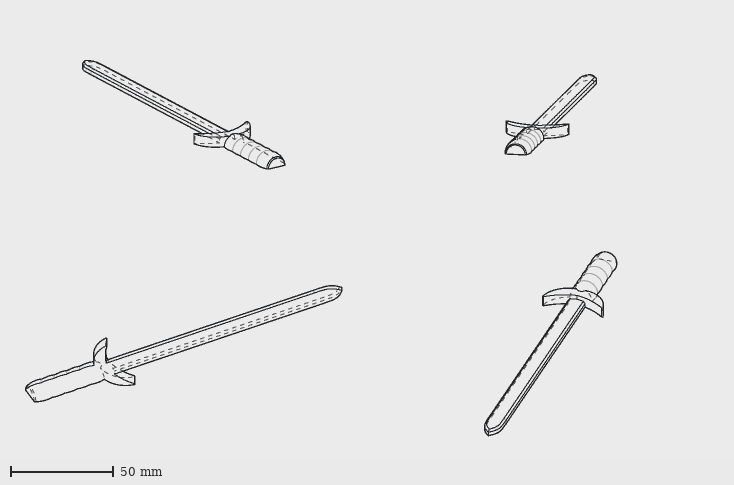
import cadquery as cq

length = 170.8

blade_half_width = 4.5
blade_height = 3.0
blade_bevel = 1.0
blade_taper_length = 13.2
tip_start_tangent = (1, 1.2)
tip_bulge = (2.9, 2.7)

guard_height = 5.3
guard_half_span = 15.7
guard_horn_x = 121.1
guard_horn_drop = 0.7
guard_inner_x = 127.8
guard_inner_middle = (124.9, 9.2)
guard_outer_x = 133.5
guard_outer_middle = (130.0, 11.0)

grip_radius = 6.3
joint_radius = 6.0
grip_start_x = 130.7
grip_start_radius = 4.8
first_bead_peak_x = 136.5
first_joint_x = 140.8
bead_pitch = 7.0
middle_bead_count = 3
pommel_rim_radius = 5.3
pommel_end_radius = 4.8
pommel_cone_length = 0.7


blade_end_x = (guard_inner_x + guard_outer_x) / 2


def make_blade():
    """Straight blade with a curved point and bevelled upper edges."""
    bulge_x, bulge_y = tip_bulge
    tangent_x, tangent_y = tip_start_tangent
    outline = (
        cq.Workplane("XY")
        .spline(
            [(0, 0), tip_bulge, (blade_taper_length, blade_half_width)],
            tangents=[tip_start_tangent, (1, 0)],
        )
        .lineTo(blade_end_x, blade_half_width)
        .lineTo(blade_end_x, -blade_half_width)
        .lineTo(blade_taper_length, -blade_half_width)
        .spline(
            [(blade_taper_length, -blade_half_width), (bulge_x, -bulge_y), (0, 0)],
            tangents=[(-1, 0), (-tangent_x, tangent_y)],
        )
        .close()
    )
    return outline.extrude(blade_height).faces(">Z").edges("not >X").chamfer(blade_bevel)


def make_guard():
    """Two swept-forward horns, mirrored about the sword's centre plane."""
    half_guard = (
        cq.Workplane("XY")
        .moveTo(guard_inner_x, 0)
        .threePointArc(guard_inner_middle, (guard_horn_x, guard_half_span - guard_horn_drop))
        .lineTo(guard_horn_x, guard_half_span)
        .threePointArc(guard_outer_middle, (guard_outer_x, 0))
        .close()
        .extrude(guard_height)
    )
    return half_guard.union(half_guard.mirror("XZ"))


def make_grip():
    """Beaded body of revolution, cut flat at the base plane."""
    profile = (
        cq.Workplane("XY")
        .moveTo(grip_start_x, 0)
        .lineTo(grip_start_x, grip_start_radius)
        .threePointArc((first_bead_peak_x, grip_radius), (first_joint_x, joint_radius))
    )
    joint_x = first_joint_x
    for _ in range(middle_bead_count):
        peak = (joint_x + bead_pitch / 2, grip_radius)
        joint_x += bead_pitch
        profile = profile.threePointArc(peak, (joint_x, joint_radius))
    rim_x = length - pommel_cone_length
    pommel_peak = ((joint_x + rim_x) / 2, grip_radius)
    profile = (
        profile.threePointArc(pommel_peak, (rim_x, pommel_rim_radius))
        .lineTo(length, pommel_end_radius)
        .lineTo(length, 0)
        .close()
    )
    return profile.revolve(180, (0, 0, 0), (1, 0, 0))


result = make_blade().union(make_guard()).union(make_grip())